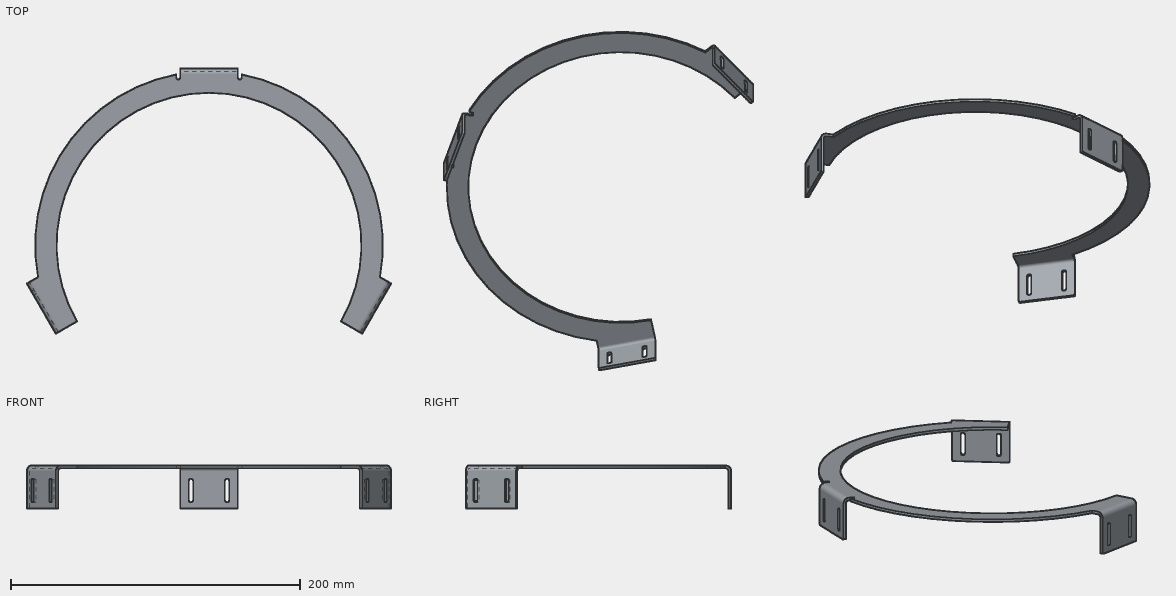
import cadquery as cq

outer_diameter = 240.0
outer_radius = outer_diameter / 2
inner_radius = 105.0
thickness = 2.0
opening_half_angle = 60

tab_reach = outer_radius + thickness
tab_width = 40.0
tab_height = 30.0
bend_outer_radius = 4.0
bend_inner_radius = bend_outer_radius - thickness
tab_corner_radius = 1.0
bend_line = tab_reach - bend_outer_radius

slot_spacing = 25.0
slot_length = 16.0
slot_width = 3.0
slot_depth = 17.3

relief_width = 2.5
relief_bottom = 114.3

end_tab_offset = tab_width / 2


def plate_block(x_center, width, y_start, y_end):
    """Block of ring thickness, with its top face at z = 0."""
    return (
        cq.Workplane("XY")
        .workplane(offset=-thickness)
        .center(x_center, (y_start + y_end) / 2)
        .rect(width, y_end - y_start)
        .extrude(thickness)
    )


def make_ring():
    """Annulus with a wedge removed, leaving radial ends."""
    ring = (
        cq.Workplane("XY")
        .workplane(offset=-thickness)
        .circle(outer_radius)
        .circle(inner_radius)
        .extrude(thickness)
    )
    opening = (
        cq.Workplane("YZ")
        .moveTo(0, -thickness)
        .lineTo(-2 * outer_radius, -thickness)
        .lineTo(-2 * outer_radius, 0)
        .lineTo(0, 0)
        .close()
        .revolve(2 * opening_half_angle, (0, 0, 0), (0, 1, 0))
        .rotate((0, 0, 0), (0, 0, 1), -opening_half_angle)
    )
    return ring.cut(opening)


def make_tab():
    """Tab centred on +Y: flat root, quarter bend and slotted upright."""
    root_start = (inner_radius + outer_radius) / 2
    profile = (
        cq.Workplane("YZ")
        .moveTo(root_start, 0)
        .lineTo(bend_line, 0)
        .radiusArc((tab_reach, -bend_outer_radius), bend_outer_radius)
        .lineTo(tab_reach, -tab_height)
        .lineTo(tab_reach - thickness, -tab_height)
        .lineTo(tab_reach - thickness, -bend_outer_radius)
        .radiusArc((bend_line, -thickness), -bend_inner_radius)
        .lineTo(root_start, -thickness)
        .close()
    )
    tab = profile.extrude(tab_width / 2, both=True)
    tab = tab.faces("<Z").edges("|Y").fillet(tab_corner_radius)
    slots = (
        cq.Workplane("XZ", origin=(0, tab_reach + thickness, -slot_depth))
        .rarray(slot_spacing, 2.5, 2, 1)
        .slot2D(slot_length, slot_width, 90)
        .extrude(3 * thickness)
    )
    return tab.cut(slots)


def add_tab(ring, x_offset, angle):
    """Trim the ring at the bend line, join a tab there and turn it into place."""
    trim = plate_block(x_offset, tab_width, bend_line, tab_reach)
    tab = make_tab().translate((x_offset, 0, 0))
    axis = ((0, 0, 0), (0, 0, 1), angle)
    return ring.cut(trim.rotate(*axis)).union(tab.rotate(*axis))


def make_relief(side):
    """Round-bottomed notch against one side of the rear tab."""
    x_center = side * (tab_width + relief_width) / 2
    round_center = relief_bottom + relief_width / 2
    notch = plate_block(x_center, relief_width, round_center, tab_reach)
    round_bottom = (
        cq.Workplane("XY")
        .workplane(offset=-thickness)
        .center(x_center, round_center)
        .circle(relief_width / 2)
        .extrude(thickness)
    )
    return notch.union(round_bottom)


result = make_ring()
result = add_tab(result, 0, 0)
for side in (-1, 1):
    result = result.cut(make_relief(side))
    end_angle = -side * (180 - opening_half_angle)
    result = add_tab(result, -side * end_tab_offset, end_angle)